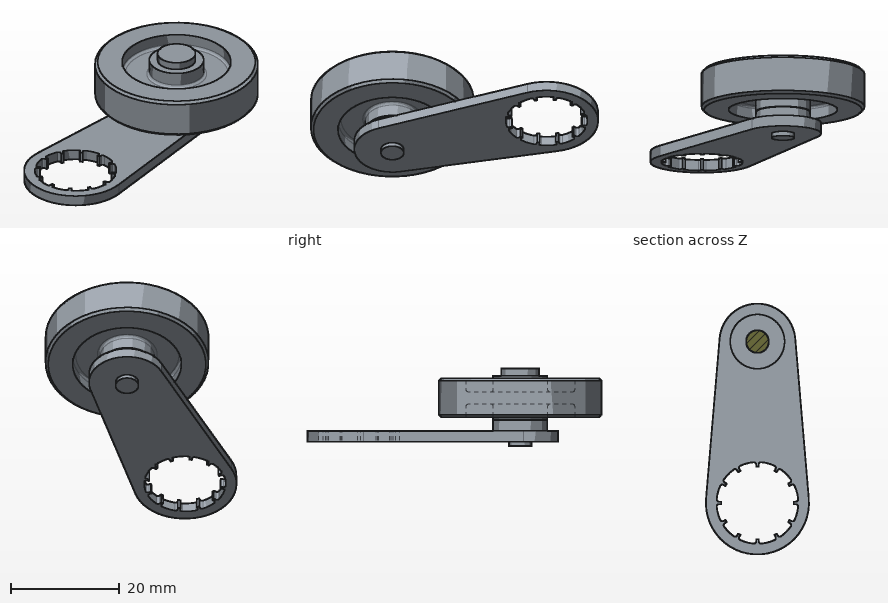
import cadquery as cq
import math

arm_thickness = 2.0
hub_end_radius = 7.0
ring_end_radius = 9.5
centre_distance = 29.66

opening_radius = 7.5
tooth_count = 12
tooth_tip_radius = 6.65
tooth_width = 0.5
tooth_root_fillet = 0.4

wheel_radius = 15.0
wheel_width = 7.2
wheel_chamfer = 0.5
recess_radius = 10.0
recess_depth = 2.5
recess_fillet = 0.5
boss_radius = 5.0
boss_projection = 0.4

spacer_height = 2.0
spacer_gap = 0.1
pin_radius = 2.1
pin_projection = 0.8
head_radius = 3.5
head_height = 1.4

boss_bottom = arm_thickness + spacer_height + spacer_gap
wheel_bottom = boss_bottom + boss_projection
wheel_top = wheel_bottom + wheel_width
boss_top = wheel_top + boss_projection


def cylinder(radius, bottom, top):
    """Solid cylinder on the wheel axis between two heights."""
    return cq.Workplane("XY").workplane(offset=bottom).circle(radius).extrude(top - bottom)


def make_arm():
    """Plate bounded by two end arcs and their common tangent lines."""
    taper = math.asin((ring_end_radius - hub_end_radius) / centre_distance)
    hub_x = hub_end_radius * math.cos(taper)
    hub_y = hub_end_radius * math.sin(taper)
    ring_x = ring_end_radius * math.cos(taper)
    ring_y = ring_end_radius * math.sin(taper) - centre_distance
    return (
        cq.Workplane("XY")
        .moveTo(hub_x, hub_y)
        .threePointArc((0, hub_end_radius), (-hub_x, hub_y))
        .lineTo(-ring_x, ring_y)
        .threePointArc((0, -centre_distance - ring_end_radius), (ring_x, ring_y))
        .close()
        .extrude(arm_thickness)
    )


def make_toothed_opening():
    """Cutter for the opening: a disc with a notch for each tooth, rounded at the tooth roots."""
    cutter = cq.Workplane("XY").circle(opening_radius).extrude(arm_thickness)
    mean_tooth_radius = (opening_radius + tooth_tip_radius) / 2
    notch_length = 2 * (opening_radius - tooth_tip_radius)
    notch = (
        cq.Workplane("XY")
        .center(tooth_tip_radius + notch_length / 2, 0)
        .rect(notch_length, tooth_width)
        .extrude(arm_thickness)
    )
    for index in range(tooth_count):
        angle = index * 360 / tooth_count
        cutter = cutter.cut(notch.rotate((0, 0, 0), (0, 0, 1), angle))
    root_edges = cutter.edges("|Z").filter(
        lambda edge: math.hypot(edge.Center().x, edge.Center().y) > mean_tooth_radius
    )
    cutter = root_edges.fillet(tooth_root_fillet)
    return cutter.translate((0, -centre_distance, 0))


def make_recess(floor, mouth):
    """Annular recess cutter, rounded where its walls meet the floor."""
    return (
        cq.Workplane("XY")
        .workplane(offset=floor)
        .circle(recess_radius)
        .circle(boss_radius)
        .extrude(mouth - floor)
        .faces("<Z" if mouth > floor else ">Z")
        .edges()
        .fillet(recess_fillet)
    )


def make_wheel():
    """Chamfered wheel with a recess in each side, leaving the web and the boss."""
    rim = cylinder(wheel_radius, wheel_bottom, wheel_top).edges().chamfer(wheel_chamfer)
    upper_recess = make_recess(wheel_top - recess_depth, wheel_top)
    lower_recess = make_recess(wheel_bottom + recess_depth, wheel_bottom)
    boss = cylinder(boss_radius, boss_bottom, boss_top)
    return rim.cut(upper_recess).cut(lower_recess).union(boss)


def make_axle():
    """Pin through the arm and spacer into the boss, with the head on top of the boss."""
    pin = cylinder(pin_radius, -pin_projection, boss_top)
    spacer = cylinder(boss_radius, arm_thickness, arm_thickness + spacer_height)
    head = cylinder(head_radius, boss_top, boss_top + head_height)
    return pin.union(spacer).union(head)


arm = make_arm().cut(make_toothed_opening())
result = arm.union(make_axle()).union(make_wheel())